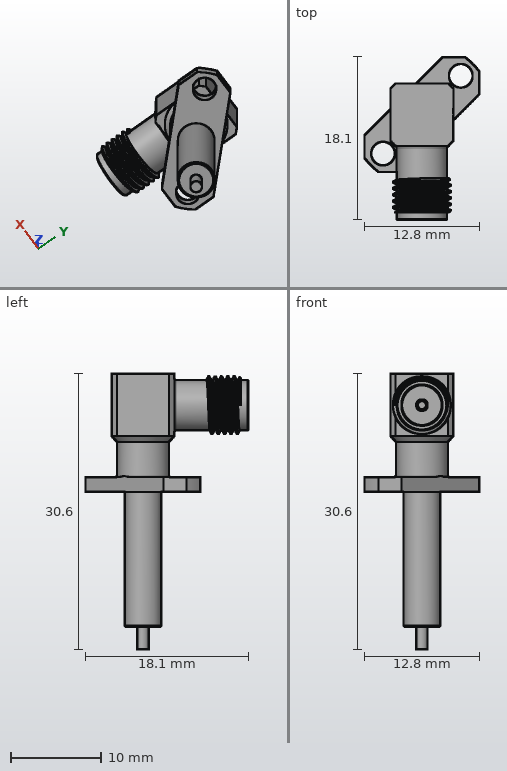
import cadquery as cq
import math


sleeve_diameter = 4.1
sleeve_length = 15.0
sleeve_chamfer = 0.15
pin_diameter = 1.3
pin_length = 2.5

flange_thickness = 1.62
flange_span = 12.75
flange_end_radius = 8.0
hole_diameter = 2.6
hole_offset = 4.3

neck_diameter = 5.8
neck_fillet = 0.15
block_width = 6.98
block_height = 6.92
block_corner_chamfer = 0.58
cone_height = 0.65
overall_height = 30.6
block_top = overall_height - pin_length - sleeve_length
block_bottom = block_top - block_height
neck_top = block_bottom - cone_height

socket_axis_z = block_top - block_width / 2
socket_tip_reach = 11.7
socket_diameter = 5.6
socket_fillet = 0.18
socket_tip_chamfer = 0.1
socket_length = socket_tip_reach - block_width / 2
bore_diameter = 4.6
bore_depth = 1.9
bore_floor_chamfer = 0.1
contact_hole_diameter = 0.92
contact_hole_chamfer = 0.18
contact_hole_depth = 1.85

thread_diameter = 6.43
thread_pitch = 0.7
thread_turns = 5.5
thread_base_width = 0.6
thread_crest_width = 0.1
thread_start = 3.65
thread_zone_start = 3.55
thread_length = 3.82
thread_end_chamfer = 0.35
thread_embed = 0.1


def cylinder(diameter, bottom, height):
    return cq.Workplane("XY").workplane(offset=bottom).circle(diameter / 2).extrude(height)


def flange_blank(height):
    """Flange outline, rounded at both tips, extruded up from Z = 0."""
    corner = flange_span / 2
    waist = neck_diameter / math.sqrt(2)
    outline = [
        (corner, corner),
        (corner - waist, corner),
        (-corner, waist - corner),
        (-corner, -corner),
        (waist - corner, -corner),
        (corner, corner - waist),
    ]
    plate = cq.Workplane("XY").polyline(outline).close().extrude(height)
    return plate.intersect(cylinder(2 * flange_end_radius, 0, height))


def make_flange():
    hole_centres = [(hole_offset, hole_offset), (-hole_offset, -hole_offset)]
    plate = flange_blank(flange_thickness)
    return plate.faces(">Z").workplane(origin=(0, 0, 0)).pushPoints(hole_centres).hole(hole_diameter)


def make_foot_flare(diameter, radius):
    """Ring with a concave quarter-round section, standing at the foot of a cylinder."""
    wall = diameter / 2
    mid = radius * (1 - math.sqrt(0.5))
    return (
        cq.Workplane("XZ")
        .moveTo(wall - radius, 0)
        .lineTo(wall + radius, 0)
        .threePointArc((wall + mid, mid), (wall, radius))
        .lineTo(wall - radius, radius)
        .close()
        .revolve(360, (0, 0, 0), (0, 1, 0))
    )


def make_stem():
    sleeve = cylinder(sleeve_diameter, -sleeve_length, sleeve_length)
    sleeve = sleeve.faces("<Z").chamfer(sleeve_chamfer)
    pin = cylinder(pin_diameter, -sleeve_length - pin_length, pin_length)
    return sleeve.union(pin)


def make_elbow():
    neck = cylinder(neck_diameter, flange_thickness, neck_top - flange_thickness)
    flare = make_foot_flare(neck_diameter, neck_fillet).translate((0, 0, flange_thickness))
    flare = flare.intersect(flange_blank(flange_thickness + neck_fillet))
    cone = cq.Workplane("XY").add(
        cq.Solid.makeCone(neck_diameter / 2, block_width / 2, cone_height, cq.Vector(0, 0, neck_top))
    )
    block = (
        cq.Workplane("XY")
        .workplane(offset=block_bottom)
        .rect(block_width, block_width)
        .extrude(block_height)
        .edges("|Z")
        .chamfer(block_corner_chamfer)
    )
    return neck.union(flare).union(cone).union(block)


def make_thread():
    """Helical ridge about the Z axis, trimmed to a band with chamfered ends."""
    root = socket_diameter / 2 - thread_embed
    crest = thread_diameter / 2
    helix = cq.Wire.makeHelix(thread_pitch, thread_pitch * thread_turns, root)
    ridge = [
        (root, -thread_base_width / 2),
        (crest, -thread_crest_width / 2),
        (crest, thread_crest_width / 2),
        (root, thread_base_width / 2),
    ]
    coil = cq.Workplane("XZ").polyline(ridge).close().sweep(cq.Workplane(helix), isFrenet=True)
    coil = coil.translate((0, 0, thread_start))
    envelope = cylinder(thread_diameter + 2 * thread_embed, thread_zone_start, thread_length)
    return coil.intersect(envelope.edges().chamfer(thread_end_chamfer))


def make_socket():
    """Socket built upright on the block face, then turned to point along -Y."""
    body = cylinder(socket_diameter, 0, socket_length).faces(">Z").edges().chamfer(socket_tip_chamfer)
    body = body.union(make_foot_flare(socket_diameter, socket_fillet))
    body = body.union(make_thread())
    bore_floor = socket_length - bore_depth
    bore = cylinder(bore_diameter, bore_floor, bore_depth).faces("<Z").chamfer(bore_floor_chamfer)
    contact_hole = cylinder(contact_hole_diameter, bore_floor - contact_hole_depth, contact_hole_depth)
    countersink = cq.Workplane("XY").add(
        cq.Solid.makeCone(
            contact_hole_diameter / 2,
            contact_hole_diameter / 2 + contact_hole_chamfer,
            contact_hole_chamfer,
            cq.Vector(0, 0, bore_floor - contact_hole_chamfer),
        )
    )
    body = body.cut(bore).cut(contact_hole).cut(countersink)
    return body.rotate((0, 0, 0), (1, 0, 0), 90).translate((0, -block_width / 2, socket_axis_z))


result = make_stem().union(make_flange()).union(make_elbow()).union(make_socket())